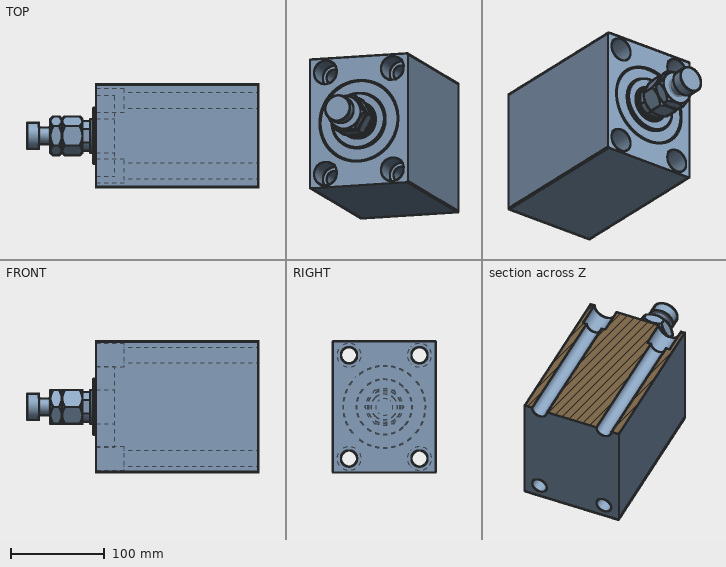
import cadquery as cq
import math


HOUSING_LENGTH = 173.0
HOUSING_WIDTH = 110.0
HOUSING_HEIGHT = 140.0
HOUSING_EDGE_CHAMFER = 1.0

BOLT_SPACING_Y = 75.0
BOLT_SPACING_Z = 110.0
BOLT_HOLE_DIAMETER = 17.0
COUNTERBORE_DIAMETER = 25.5
COUNTERBORE_DEPTH = 30.0

GLAND_DIAMETER = 86.5
GLAND_DEPTH = 20.0
GLAND_POCKET_CHAMFER = 1.0
RIM_SEARCH_MARGIN = 1.0
FLANGE_DIAMETER = 60.0
FLANGE_HEIGHT = 3.0
FLANGE_CHAMFER = 1.0
WIPER_RECESS_DIAMETER = 39.5
WIPER_RECESS_DEPTH = 1.0

ROD_DIAMETER = 36.0
ROD_CHAMFER = 0.5
ROD_SHOULDER_PROTRUSION = 6.0
ROD_END_PROTRUSION = 14.0
WRENCH_FLAT_WIDTH = 32.0

HEAD_DIAMETER = 28.0
HEAD_LENGTH = 12.5
HEAD_CHAMFER = 0.4
NECK_DIAMETER = 18.0
NECK_LENGTH = 12.0
NECK_FILLET = 1.25
HEX_ACROSS_FLATS = 36.0
HEX_CHAMFER_DIAMETER = 35.4
SHORT_HEX_LENGTH = 12.5
COUPLING_LENGTH = 59.0
LONG_HEX_LENGTH = COUPLING_LENGTH - HEAD_LENGTH - NECK_LENGTH - SHORT_HEX_LENGTH

HEX_ACROSS_CORNERS = HEX_ACROSS_FLATS / math.cos(math.radians(30))
WRENCH_SECTION_DIAMETER = ROD_DIAMETER - 2 * ROD_CHAMFER


def disc(diameter, x_start, length):
    """Solid cylinder on the X axis that starts at x_start and runs toward +X."""
    return cq.Workplane("YZ", origin=(x_start, 0, 0)).circle(diameter / 2).extrude(length)


def make_housing():
    block = (
        cq.Workplane("YZ")
        .rect(HOUSING_WIDTH, HOUSING_HEIGHT)
        .extrude(HOUSING_LENGTH)
        .edges("|X")
        .chamfer(HOUSING_EDGE_CHAMFER)
    )
    bolt_holes = (
        cq.Workplane("YZ")
        .rect(BOLT_SPACING_Y, BOLT_SPACING_Z, forConstruction=True)
        .vertices()
    )
    through_holes = bolt_holes.circle(BOLT_HOLE_DIAMETER / 2).extrude(HOUSING_LENGTH)
    counterbores = bolt_holes.circle(COUNTERBORE_DIAMETER / 2).extrude(COUNTERBORE_DEPTH)
    block = block.cut(through_holes).cut(counterbores)

    gland_pocket = disc(GLAND_DIAMETER, 0, GLAND_DEPTH)
    block = block.cut(gland_pocket)
    reach = GLAND_DIAMETER / 2 + RIM_SEARCH_MARGIN
    pocket_rim = cq.selectors.BoxSelector(
        (-RIM_SEARCH_MARGIN, -reach, -reach),
        (RIM_SEARCH_MARGIN, reach, reach),
        boundingbox=True,
    )
    return block.edges(pocket_rim).chamfer(GLAND_POCKET_CHAMFER)


def make_gland():
    flange = disc(FLANGE_DIAMETER, -FLANGE_HEIGHT, FLANGE_HEIGHT).faces("<X").chamfer(FLANGE_CHAMFER)
    rod_bore = disc(ROD_DIAMETER, -FLANGE_HEIGHT, FLANGE_HEIGHT + GLAND_DEPTH)
    wiper_recess = disc(WIPER_RECESS_DIAMETER, -FLANGE_HEIGHT, WIPER_RECESS_DEPTH)
    return disc(GLAND_DIAMETER, 0, GLAND_DEPTH).union(flange).cut(rod_bore).cut(wiper_recess)


def make_rod():
    shaft = (
        disc(ROD_DIAMETER, -ROD_SHOULDER_PROTRUSION, ROD_SHOULDER_PROTRUSION + GLAND_DEPTH)
        .faces("<X")
        .chamfer(ROD_CHAMFER)
    )
    wrench_length = ROD_END_PROTRUSION - ROD_SHOULDER_PROTRUSION
    square = (
        cq.Workplane("YZ", origin=(-ROD_END_PROTRUSION, 0, 0))
        .rect(WRENCH_FLAT_WIDTH, WRENCH_FLAT_WIDTH)
        .extrude(wrench_length)
    )
    wrench_section = disc(WRENCH_SECTION_DIAMETER, -ROD_END_PROTRUSION, wrench_length).intersect(square)
    return shaft.union(wrench_section)


def hexagon(x_start, length):
    """Hexagon with flats at +-Z and both ends turned to 45 degree cones."""
    prism = cq.Workplane("YZ", origin=(x_start, 0, 0)).polygon(6, HEX_ACROSS_CORNERS).extrude(length)
    cone_height = (HEX_ACROSS_CORNERS - HEX_CHAMFER_DIAMETER) / 2
    turned_blank = disc(HEX_ACROSS_CORNERS, x_start, length).faces("<X or >X").chamfer(cone_height)
    return prism.intersect(turned_blank)


def make_coupling():
    x_tip = -ROD_END_PROTRUSION - COUPLING_LENGTH
    x_neck = x_tip + HEAD_LENGTH
    x_short_hex = x_neck + NECK_LENGTH
    x_long_hex = x_short_hex + SHORT_HEX_LENGTH
    neck_radius = NECK_DIAMETER / 2
    fillet_radius = neck_radius + NECK_FILLET
    stud = (
        cq.Workplane("XY")
        .moveTo(x_tip, 0)
        .lineTo(x_tip, HEAD_DIAMETER / 2 - HEAD_CHAMFER)
        .lineTo(x_tip + HEAD_CHAMFER, HEAD_DIAMETER / 2)
        .lineTo(x_neck, HEAD_DIAMETER / 2)
        .lineTo(x_neck, fillet_radius)
        .radiusArc((x_neck + NECK_FILLET, neck_radius), -NECK_FILLET)
        .lineTo(x_short_hex - NECK_FILLET, neck_radius)
        .radiusArc((x_short_hex, fillet_radius), -NECK_FILLET)
        .lineTo(x_short_hex, 0)
        .close()
        .revolve(360, (0, 0, 0), (1, 0, 0))
    )
    short_hex = hexagon(x_short_hex, SHORT_HEX_LENGTH)
    long_hex = hexagon(x_long_hex, LONG_HEX_LENGTH)
    return stud.union(short_hex).union(long_hex)


housing = make_housing()
gland = make_gland()
rod = make_rod()
coupling = make_coupling()

result = cq.Compound.makeCompound([housing.val(), gland.val(), rod.val(), coupling.val()])